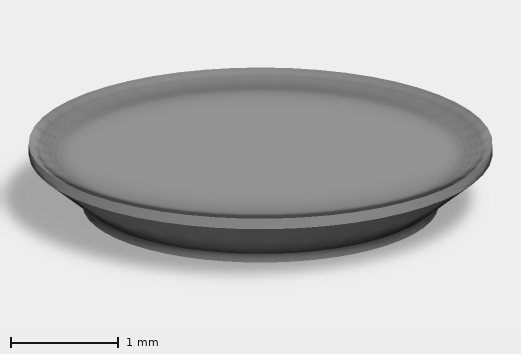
import cadquery as cq
import math

rim_radius = 2.15
total_height = 0.6

foot_radius = 1.65
foot_height = 0.085
rim_height = 0.105

floor_radius = 1.85
dish_depth = 0.105

arc_width = rim_radius - floor_radius
arc_radius = (arc_width**2 + dish_depth**2) / (2 * dish_depth)
half_sweep = math.asin(arc_width / arc_radius) / 2
floor_z = total_height - dish_depth
arc_middle = (
    floor_radius + arc_radius * math.sin(half_sweep),
    floor_z + arc_radius * (1 - math.cos(half_sweep)),
)

half_section = (
    cq.Workplane("XZ")
    .moveTo(0, 0)
    .lineTo(foot_radius, 0)
    .lineTo(foot_radius, foot_height)
    .lineTo(rim_radius, total_height - rim_height)
    .lineTo(rim_radius, total_height)
    .threePointArc(arc_middle, (floor_radius, floor_z))
    .lineTo(0, floor_z)
    .close()
)

result = half_section.revolve(360, (0, 0, 0), (0, 1, 0))